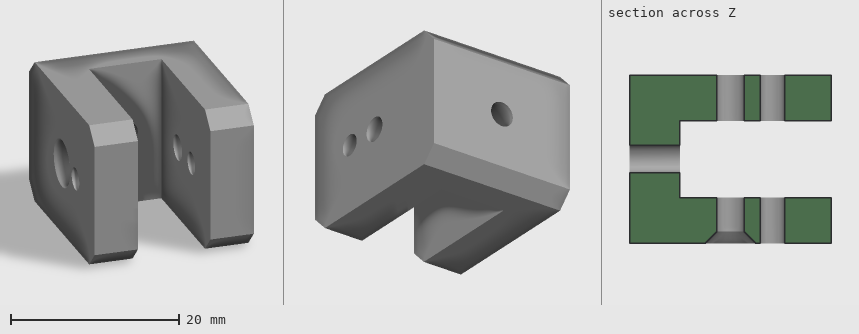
import cadquery as cq

length_x = 24.0
width_y = 20.0
height_z = 18.0
corner_chamfer = 2.0

web_thickness = 6.0
slot_width = 9.1

screw_diameter = 3.2
countersink_diameter = 6.0
countersink_angle = 90.0
pin_diameter = 2.8
pin_offset_x = 5.0


def chamfered_block():
    """Block with its four edges along Y chamfered."""
    block = cq.Workplane("XY").box(length_x, width_y, height_z)
    return block.edges("|Y").chamfer(corner_chamfer)


def slot():
    """Full-height opening between the two arms."""
    slot_length = length_x - web_thickness
    slot_center_x = web_thickness / 2
    return cq.Workplane("XY").center(slot_center_x, 0).box(slot_length, slot_width, height_z)


def web_hole():
    """Screw hole along X through the web."""
    return (
        cq.Workplane("YZ", origin=(-length_x / 2, 0, 0))
        .circle(screw_diameter / 2)
        .extrude(web_thickness)
    )


body = chamfered_block().cut(slot()).cut(web_hole())

front_face = cq.Workplane("XZ", origin=(0, -width_y / 2, 0))
body = (
    body.copyWorkplane(front_face)
    .cskHole(screw_diameter, countersink_diameter, countersink_angle)
)

pin_hole = front_face.center(pin_offset_x, 0).circle(pin_diameter / 2).extrude(-width_y)
result = body.cut(pin_hole)